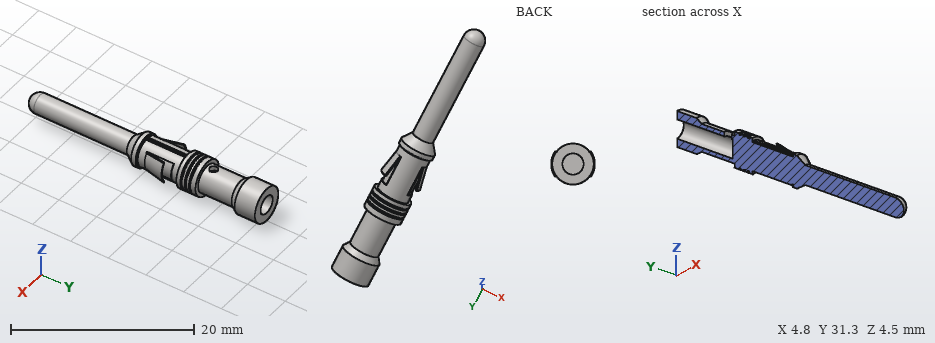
import cadquery as cq
import math

LENGTH = 31.3

PIN_RADIUS = 1.25
FLANGE_RADIUS = 2.07
BODY_RADIUS = 1.75
COLLAR_RADIUS = 2.25
GROOVE_FLOOR_RADIUS = 2.07

CONE_START = 13.6
FLANGE_START = 14.75
FLANGE_END = 15.35
RINGS_START = 20.88
RINGS_END = 23.4
NECK_END = 27.85
COLLAR_START = 28.6

GROOVE_WIDTH = 0.2
GROOVE_PITCH = 0.55
GROOVE_COUNT = 3
FIRST_GROOVE = 21.4

HOLE_RADIUS = 0.5
HOLE_Y = 24.3
BORE_RADIUS = 1.15
BORE_END = 23.65

SLEEVE_RADIUS = 1.88
SLEEVE_GAP = 0.1
SLEEVE_START = FLANGE_END + SLEEVE_GAP
SLIT_WIDTH = 0.38

SHEET = SLEEVE_RADIUS - BODY_RADIUS
WINDOW_START = 16.35
WINDOW_END = 19.9
WINDOW_HALF_HEIGHT = 1.3
TANG_END = 19.0
TANG_SPAN = 4.8
TANG_TIP_RADIUS = TANG_SPAN / 2
TANG_ROOT_HALF_HEIGHT = 1.2
TANG_TIP_HALF_HEIGHT = 1.38


def revolve_profile(profile):
    """Turn a closed sketch of (radius, Y) about the Y axis."""
    return profile.close().revolve(360, (0, 0, 0), (0, 1, 0))


def tube(outer, inner, start, end):
    """Ring about the Y axis."""
    return revolve_profile(
        cq.Workplane("XY").moveTo(inner, start).lineTo(outer, start).lineTo(outer, end).lineTo(inner, end)
    )


def make_body():
    """Solid turned contact: domed pin, cone, flange, rings, neck and collar."""
    dome_mid = PIN_RADIUS * math.sqrt(0.5)
    body = revolve_profile(
        cq.Workplane("XY")
        .moveTo(0, 0)
        .threePointArc((dome_mid, PIN_RADIUS - dome_mid), (PIN_RADIUS, PIN_RADIUS))
        .lineTo(PIN_RADIUS, CONE_START)
        .lineTo(FLANGE_RADIUS, FLANGE_START)
        .lineTo(FLANGE_RADIUS, FLANGE_END)
        .lineTo(BODY_RADIUS, FLANGE_END)
        .lineTo(BODY_RADIUS, RINGS_START)
        .lineTo(COLLAR_RADIUS, RINGS_START)
        .lineTo(COLLAR_RADIUS, RINGS_END)
        .lineTo(BODY_RADIUS, RINGS_END)
        .lineTo(BODY_RADIUS, NECK_END)
        .lineTo(COLLAR_RADIUS, COLLAR_START)
        .lineTo(COLLAR_RADIUS, LENGTH)
        .lineTo(0, LENGTH)
    )
    for index in range(GROOVE_COUNT):
        start = FIRST_GROOVE + index * GROOVE_PITCH
        body = body.cut(tube(COLLAR_RADIUS, GROOVE_FLOOR_RADIUS, start, start + GROOVE_WIDTH))
    return body


def cut_wire_bore(body):
    """Blind bore from the wire end, met by the inspection hole from +Z."""
    bore = cq.Workplane("XZ", origin=(0, LENGTH, 0)).circle(BORE_RADIUS).extrude(LENGTH - BORE_END)
    hole = cq.Workplane("XY", origin=(0, HOLE_Y, 0)).circle(HOLE_RADIUS).extrude(COLLAR_RADIUS)
    return body.cut(bore).cut(hole)


def make_sleeve():
    """Thin sleeve with a slit along +Z and a window on each X side."""
    sleeve = tube(SLEEVE_RADIUS, BODY_RADIUS, SLEEVE_START, RINGS_START)
    slit = cq.Workplane("XY").box(SLIT_WIDTH, LENGTH, COLLAR_RADIUS, centered=(True, False, False))
    sleeve = sleeve.cut(slit)
    wedge_depth = 2 * math.sqrt(SLEEVE_RADIUS**2 - WINDOW_HALF_HEIGHT**2)
    wedge_half_height = 2 * WINDOW_HALF_HEIGHT
    for side in (-1, 1):
        wedge_x = side * wedge_depth
        wedge = (
            cq.Workplane("XZ", origin=(0, WINDOW_END, 0))
            .polyline([(0, 0), (wedge_x, -wedge_half_height), (wedge_x, wedge_half_height)])
            .close()
            .extrude(WINDOW_END - WINDOW_START)
        )
        sleeve = sleeve.cut(wedge)
    return sleeve


def make_tangs():
    """Two pieces of a thin cone that flares towards the wire end, trimmed to tapered tongues."""
    cone = revolve_profile(
        cq.Workplane("XY")
        .moveTo(SLEEVE_RADIUS - SHEET, WINDOW_START)
        .lineTo(SLEEVE_RADIUS, WINDOW_START)
        .lineTo(TANG_TIP_RADIUS, TANG_END)
        .lineTo(TANG_TIP_RADIUS - SHEET, TANG_END)
    )
    outline = (
        cq.Workplane("YZ")
        .moveTo(WINDOW_START, -TANG_ROOT_HALF_HEIGHT)
        .lineTo(TANG_END, -TANG_TIP_HALF_HEIGHT)
        .lineTo(TANG_END, TANG_TIP_HALF_HEIGHT)
        .lineTo(WINDOW_START, TANG_ROOT_HALF_HEIGHT)
        .close()
        .extrude(2 * COLLAR_RADIUS, both=True)
    )
    return cone.intersect(outline)


result = cut_wire_bore(make_body()).union(make_sleeve()).union(make_tangs())